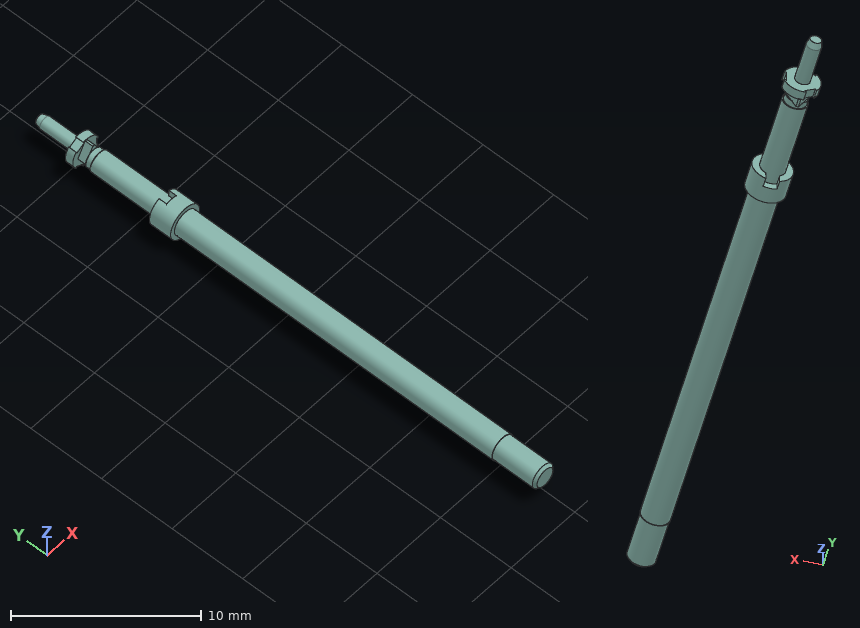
import cadquery as cq

total_length = 35.8
rear_end = -total_length / 2
tip_end = total_length / 2
barrel_start = -14.9
collar_start = 7.6
collar_length = 1.5
body_start = collar_start + collar_length
neck_start = 13.68
key_start = 14.07
head_start = 14.6
pin_start = 15.15

tail_diameter = 1.6
barrel_diameter = 1.7
collar_diameter = 2.3
body_diameter = 1.43
neck_diameter = 1.3
head_diameter = 2.08
pin_diameter = 0.85

tail_chamfer = 0.18
tip_chamfer_length = 0.4
tip_chamfer_depth = 0.1

collar_slot_width = 0.75
collar_slot_length = 0.55

head_slot_count = 3
head_slot_width = 0.65
head_slot_floor_radius = 0.85

key_tip_diameter = 2.0
key_half_width = neck_diameter / 2
key_half_height = key_half_width * 3 ** 0.5


def cylinder(diameter, start, end):
    """Cylinder on the Y axis between two stations."""
    plane = cq.Workplane("XZ", origin=(0, start, 0))
    return plane.circle(diameter / 2).extrude(start - end)


def make_tail():
    tail = cylinder(tail_diameter, rear_end, barrel_start)
    return tail.faces("<Y").edges().chamfer(tail_chamfer)


def make_collar():
    """Collar with a slot that opens toward the tip; the body fills its middle."""
    collar = cylinder(collar_diameter, collar_start, body_start)
    slot = cq.Workplane("XY").box(
        collar_slot_width, collar_slot_length, collar_diameter, centered=(True, False, True)
    )
    return collar.cut(slot.translate((0, body_start - collar_slot_length, 0)))


def make_head():
    """Disc with evenly spaced flat-bottomed slots in its rim; the first faces +X."""
    head = cylinder(head_diameter, head_start, pin_start)
    slot = cq.Workplane("XY").box(
        head_diameter, pin_start - head_start, head_slot_width, centered=(False, False, True)
    )
    slot = slot.translate((head_slot_floor_radius, head_start, 0))
    for index in range(head_slot_count):
        head = head.cut(slot.rotate((0, 0, 0), (0, 1, 0), index * 360 / head_slot_count))
    return head


def make_key():
    """Rhombic prism with its sharp tips rounded off, long diagonal along Z."""
    corners = [
        (key_half_width, 0),
        (0, key_half_height),
        (-key_half_width, 0),
        (0, -key_half_height),
    ]
    plane = cq.Workplane("XZ", origin=(0, key_start, 0))
    prism = plane.polyline(corners).close().extrude(key_start - head_start)
    return prism.intersect(cylinder(key_tip_diameter, key_start, head_start))


def make_pin():
    pin = cylinder(pin_diameter, pin_start, tip_end)
    return pin.faces(">Y").edges().chamfer(tip_chamfer_length, tip_chamfer_depth)


result = (
    make_tail()
    .union(cylinder(barrel_diameter, barrel_start, collar_start))
    .union(make_collar())
    .union(cylinder(body_diameter, collar_start, neck_start))
    .union(cylinder(neck_diameter, neck_start, key_start))
    .union(make_key())
    .union(make_head())
    .union(make_pin())
)